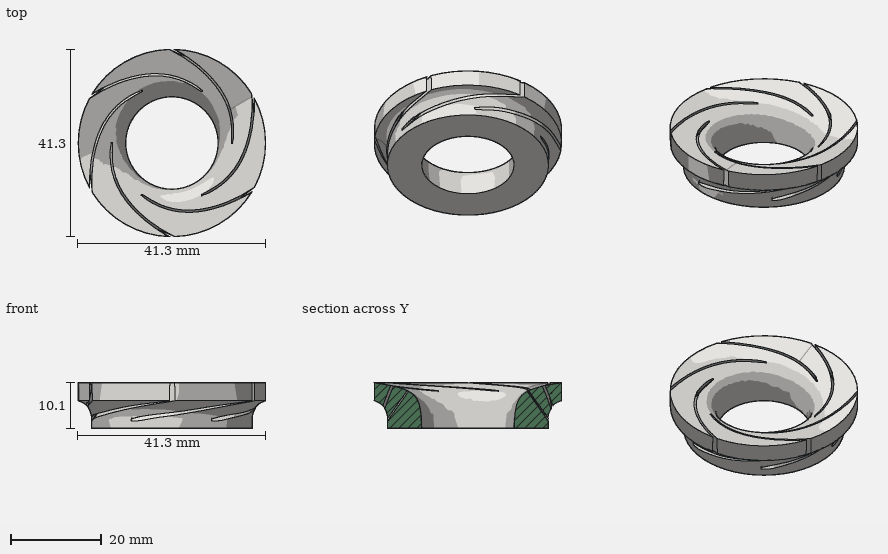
import cadquery as cq
import math

HEIGHT = 10.11
RIM_RADIUS = 20.65
RIM_BOTTOM = 6.1
HUB_RADIUS = 17.75
BORE_RADIUS = 10.15

SEAM_ANGLE = 30

TOP_FACE_POINTS = [(10.35, 3.6), (11.05, 6.2), (12.2, 7.65), (13.2, 8.27), (15.55, 9.13)]
TOP_FACE_RIM_SLOPE = 0.17
UNDERSIDE_POINTS = [(17.95, 3.5), (18.8, 5.05)]
UNDERSIDE_RIM_SLOPE = 0.4

SLOT_COUNT = 6
SLOT_START_ANGLE = 240
SLOT_WIDTH = 0.5
SLOT_TIP_WIDTH = 0.26
SLOT_OVERSHOOT = 1.0

SLOT_STATIONS = [
    (0, 13.2, 8.27, 17.75, 1.87),
    (7, 13.45, 8.4, 17.75, 2.15),
    (15, 13.8, 8.57, 17.8, 2.5),
    (30, 14.6, 8.87, 17.85, 3.15),
    (45, 15.55, 9.13, 18.08, 3.9),
    (60, 16.65, 9.4, 18.5, 4.65),
    (75, 18.25, 9.7, 19.15, 5.35),
    (90, 20.6, 10.1, 20.6, 6.08),
    (97, 22.1, 10.4, 22.1, 6.6),
]


def make_ring():
    """Revolve the section: flared bore and top face, rim, flared underside."""
    section = (
        cq.Workplane("XZ")
        .moveTo(BORE_RADIUS, 0)
        .spline(
            TOP_FACE_POINTS + [(RIM_RADIUS, HEIGHT)],
            tangents=[(0, 1), (1, TOP_FACE_RIM_SLOPE)],
            includeCurrent=True,
        )
        .lineTo(RIM_RADIUS, RIM_BOTTOM)
        .spline(
            UNDERSIDE_POINTS[::-1] + [(HUB_RADIUS, 0)],
            tangents=[(-1, -UNDERSIDE_RIM_SLOPE), (0, -1)],
            includeCurrent=True,
        )
        .close()
    )
    ring = section.revolve(360, (0, 0, 0), (0, 1, 0))
    return ring.rotate((0, 0, 0), (0, 0, 1), SEAM_ANGLE)


def polar_point(radius, angle, height):
    turn = math.radians(angle)
    return cq.Vector(radius * math.cos(turn), radius * math.sin(turn), height)


def path_tangents(points):
    """Unit directions along a row of points, from the neighbours of each point."""
    last = len(points) - 1
    return [
        (points[min(i + 1, last)] - points[max(i - 1, 0)]).normalized()
        for i in range(len(points))
    ]


def make_slot():
    """Curved sheet cutting through the ring from its top face to its underside, with a thin round nose."""
    upper = []
    lower = []
    for turn, top_radius, top_height, under_radius, under_height in SLOT_STATIONS:
        angle = SLOT_START_ANGLE + turn
        top = polar_point(top_radius, angle, top_height)
        under = polar_point(under_radius, angle, under_height)
        overshoot = (top - under).normalized() * SLOT_OVERSHOOT
        upper.append(top + overshoot)
        lower.append(under - overshoot)

    widths = [SLOT_TIP_WIDTH] + [SLOT_WIDTH] * (len(SLOT_STATIONS) - 1)

    def side_edges(side):
        """Upper and lower edge of one slot wall; side is 1 or -1."""
        edges = []
        for path in (upper, lower):
            offset_points = []
            for point, tangent, high, low, width in zip(path, path_tangents(path), upper, lower, widths):
                normal = tangent.cross(high - low).normalized()
                offset_points.append(point + normal * (side * width / 2))
            edges.append(cq.Edge.makeSpline(offset_points))
        return edges

    upper_left, lower_left = side_edges(1)
    upper_right, lower_right = side_edges(-1)
    outline = [
        (upper_left, lower_left),
        (upper_right, lower_right),
        (upper_left, upper_right),
        (lower_left, lower_right),
    ]

    nose_arcs = []
    nose_caps = []
    mouth_lines = []
    for path, left, right in ((upper, upper_left, upper_right), (lower, lower_left, lower_right)):
        nose_crown = path[0] - path_tangents(path)[0] * (SLOT_TIP_WIDTH / 2)
        nose_arc = cq.Edge.makeThreePointArc(left.startPoint(), nose_crown, right.startPoint())
        nose_arcs.append(nose_arc)
        mouth_lines.append(cq.Edge.makeLine(left.endPoint(), right.endPoint()))
        nose_chord = cq.Edge.makeLine(right.startPoint(), left.startPoint())
        nose_caps.append(cq.Face.makeFromWires(cq.Wire.assembleEdges([nose_arc, nose_chord])))
    outline += [nose_arcs, mouth_lines]

    faces = [cq.Face.makeRuledSurface(first, second) for first, second in outline]
    return cq.Solid.makeSolid(cq.Shell.makeShell(faces + nose_caps)).fix()


ring = make_ring()
slot = make_slot()
for index in range(SLOT_COUNT):
    turned_slot = slot.rotate(cq.Vector(), cq.Vector(0, 0, 1), index * 360 / SLOT_COUNT)
    ring = ring.cut(cq.Workplane(turned_slot))

result = ring.solids()